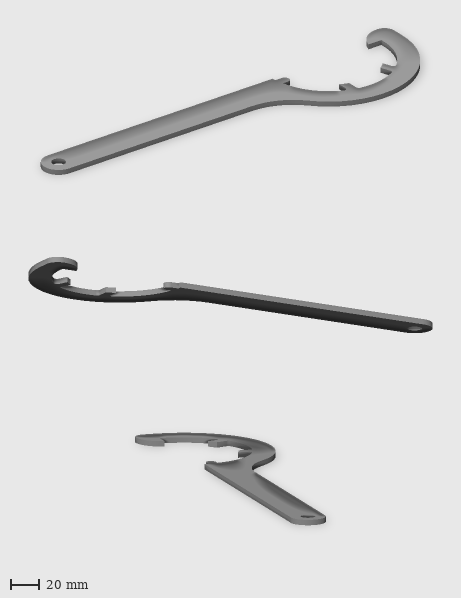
import cadquery as cq
import math

length = 325.0
thickness = 4.0

outer_radius = 64.7
bore_radius = 48.5
tooth_tip_radius = 38.5
tooth_width = 6.8
tooth_offset = 13.3
upper_tooth_angle = 20.0
root_fillet = 2.3

hook_left = -18.0
hook_edge_x = -2.5
hook_corner_radius = 8.5
hook_nose_radius = 19.5

handle_left = -0.5
handle_width = 25.5
hang_hole_diameter = 10.5
neck_radius = 48.8
shoulder_y = -49.0

pin_left = 2.3
pin_width = 7.0
pin_top = -39.5

handle_right = handle_left + handle_width
handle_end_radius = handle_width / 2
handle_axis_x = handle_left + handle_end_radius
handle_end_y = outer_radius - length + handle_end_radius


def disc(radius, x=0.0, y=0.0):
    return cq.Workplane("XY").center(x, y).circle(radius).extrude(thickness)


def block(x_min, x_max, y_min, y_max):
    return (
        cq.Workplane("XY")
        .center((x_min + x_max) / 2, (y_min + y_max) / 2)
        .rect(x_max - x_min, y_max - y_min)
        .extrude(thickness)
    )


def make_jaw():
    """Half ring, open towards -X."""
    right_side = block(hook_edge_x, outer_radius, 0, outer_radius).union(
        block(pin_left, outer_radius, -outer_radius, 0)
    )
    return disc(outer_radius).intersect(right_side)


def make_hook():
    """Rounded nose that hangs down beside the jaw opening."""
    corner_y = outer_radius - hook_corner_radius
    corner_x = hook_left + hook_corner_radius
    nose_x = hook_left + hook_nose_radius

    def nose_point(x):
        return x, corner_y - math.sqrt(hook_nose_radius**2 - (x - nose_x) ** 2)

    diagonal = hook_corner_radius * math.sqrt(0.5)
    return (
        cq.Workplane("XY")
        .moveTo(0, outer_radius)
        .lineTo(corner_x, outer_radius)
        .threePointArc((corner_x - diagonal, corner_y + diagonal), (hook_left, corner_y))
        .threePointArc(nose_point((hook_left + hook_edge_x) / 2), nose_point(hook_edge_x))
        .lineTo(hook_edge_x, bore_radius)
        .lineTo(0, bore_radius)
        .close()
        .extrude(thickness)
    )


def make_handle():
    bar = block(handle_left, handle_right, handle_end_y, shoulder_y)
    return bar.union(disc(handle_end_radius, handle_axis_x, handle_end_y))


def make_neck():
    """Concave blend, tangent to the handle side and to the outside of the jaw."""
    centre_x = handle_right + neck_radius
    centre_distance = outer_radius + neck_radius
    centre_y = -math.sqrt(centre_distance**2 - centre_x**2)
    touch_x = centre_x * outer_radius / centre_distance
    touch_y = centre_y * outer_radius / centre_distance
    web = (
        cq.Workplane("XY")
        .polyline([
            (handle_axis_x, centre_y),
            (handle_right, centre_y),
            (centre_x, centre_y),
            (touch_x, touch_y),
            (handle_axis_x, touch_y),
        ])
        .close()
        .extrude(thickness)
    )
    return web.cut(disc(neck_radius, centre_x, centre_y))


def make_tooth(side, angle):
    """Parallel-sided tooth with its tip on a circle about the jaw centre."""
    axis_y = side * tooth_offset
    ring_middle = (bore_radius + outer_radius) / 2
    bar = block(0, ring_middle, axis_y - tooth_width / 2, axis_y + tooth_width / 2)
    tooth = bar.cut(disc(tooth_tip_radius))
    return tooth.rotate((0, 0, 0), (0, 0, 1), angle)


def tooth_root(side, angle, edge):
    """Mid-thickness point where a tooth flank (edge -1 or 1) meets the bore."""
    flank_y = side * tooth_offset + edge * tooth_width / 2
    direction = math.radians(angle) + math.asin(flank_y / bore_radius)
    return bore_radius * math.cos(direction), bore_radius * math.sin(direction), thickness / 2


def make_pin():
    radius = pin_width / 2
    tip_centre_y = pin_top - radius
    shank = block(pin_left, pin_left + pin_width, -bore_radius - pin_width, tip_centre_y)
    return shank.union(disc(radius, pin_left + radius, tip_centre_y))


body = make_jaw().union(make_handle()).union(make_neck()).cut(disc(bore_radius))
body = body.union(make_hook()).union(make_pin())

teeth = [(1, upper_tooth_angle), (-1, 0.0)]
for side, angle in teeth:
    body = body.union(make_tooth(side, angle))
for side, angle in teeth:
    for edge in (-1, 1):
        root = cq.selectors.NearestToPointSelector(tooth_root(side, angle, edge))
        body = body.edges("|Z").edges(root).fillet(root_fillet)

result = body.cut(disc(hang_hole_diameter / 2, handle_axis_x, handle_end_y))